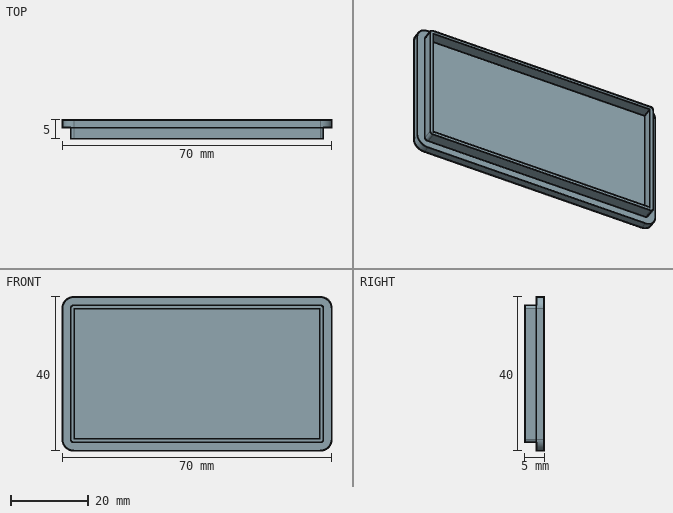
import cadquery as cq

length = 70.0
height = 40.0
depth = 5.0

plate_thickness = 2.0
plate_corner_radius = 3.0

rim_inset = 2.2
rim_wall = 1.0
rim_length = length - 2 * rim_inset
rim_height = height - 2 * rim_inset
rim_depth = depth - plate_thickness
rim_corner_radius = plate_corner_radius - rim_inset


def block(size_x, size_z, size_y):
    """Block centred on the Y axis, extending from the plate's front face toward -Y."""
    return cq.Workplane("XZ").rect(size_x, size_z).extrude(size_y)


plate = block(length, height, -plate_thickness).edges("|Y").fillet(plate_corner_radius)

rim = block(rim_length, rim_height, rim_depth).edges("|Y").fillet(rim_corner_radius)
opening = block(rim_length - 2 * rim_wall, rim_height - 2 * rim_wall, rim_depth)

result = plate.union(rim.cut(opening))